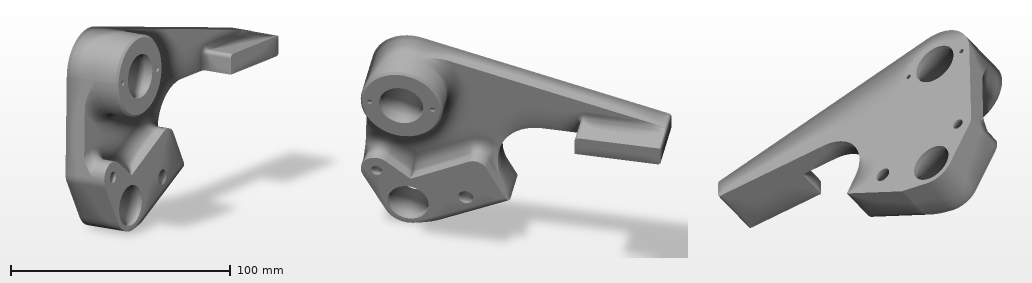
import cadquery as cq
import math


PLATE_THICKNESS = 10.0
PAD_HEIGHT = 21.0
ARM_BLOCK_HEIGHT = 25.0
MAIN_BOSS_HEIGHT = 27.5

MAIN_CENTRE = (0.0, 0.0)
MAIN_RADIUS = 19.0
MAIN_BORE = 20.5
PIN_HOLE = 2.4
PIN_OFFSET = 14.6

LOWER_CENTRE = (2.0, -62.47)
LOWER_RADIUS = 12.0
LOWER_BORE = 19.0
SMALL_CENTRE = (-12.7, -45.8)
SMALL_RADIUS = 7.35
SMALL_HOLE = 5.2

ARM_END_Y = 120.0
ARM_BOTTOM_Z = -17.8
ARM_CORNER_RADIUS = 1.5
ARM_UPPER_CORNER_Z = -9.4
ARM_BLOCK_LENGTH = 40.0
ARM_BLOCK_TOP_Z = -8.3
ARM_BLOCK_CORNER_RADIUS = 2.0
ARM_BLOCK_FILLET = 2.0

NOTCH_RADIUS = 20.0
NOTCH_CENTRE = (61.7, ARM_BOTTOM_Z - NOTCH_RADIUS)
TIP = (48.7, -55.8)
TIP_HOLE = 7.0
TIP_HOLE_CENTRE = (28.75, -55.05)
BEND = (18.4, -71.55)

PAD_CORNER_RADIUS = 6.0
PAD_CORNER_DISTANCE = 22.2

PAD_EDGE_FILLET = 4.0
BOSS_FILLET = 5.0
BOSS_CHAMFER = 1.0

SLAB_REACH = 200.0
SELECT_MARGIN = 0.01


def on_circle(centre, radius, angle):
    return (centre[0] + radius * math.cos(angle), centre[1] + radius * math.sin(angle))


def tangent(circle_a, circle_b):
    """Ends of the line touching two (centre, radius) circles that lie to the right of its travel.

    A negative radius puts a circle to the left, and a zero radius makes it a point.
    """
    (centre_a, radius_a), (centre_b, radius_b) = circle_a, circle_b
    dy = centre_b[0] - centre_a[0]
    dz = centre_b[1] - centre_a[1]
    normal = math.atan2(dz, dy) + math.acos((radius_a - radius_b) / math.hypot(dy, dz))
    return on_circle(centre_a, radius_a, normal), on_circle(centre_b, radius_b, normal)


def arc_middle(centre, radius, start, end):
    """Point halfway along the shorter arc between two points of a circle."""
    y = (start[0] + end[0]) / 2 - centre[0]
    z = (start[1] + end[1]) / 2 - centre[1]
    return on_circle(centre, abs(radius), math.atan2(z, y))


def belt(circles, height):
    """Prism whose outline runs clockwise around the circles, like a belt around pulleys."""
    lines = [tangent(circles[i - 1], circles[i]) for i in range(len(circles))]
    outline = cq.Workplane("YZ").moveTo(*lines[0][0])
    for i, (centre, radius) in enumerate(circles):
        arrive = lines[i][1]
        leave = lines[(i + 1) % len(circles)][0]
        outline = outline.lineTo(*arrive)
        if radius != 0:
            outline = outline.threePointArc(arc_middle(centre, radius, arrive, leave), leave)
    return outline.close().extrude(height)


def cylinder(centre, diameter, height):
    return cq.Workplane("YZ").center(*centre).circle(diameter / 2).extrude(height)


def raise_from_slab(shape, fillet):
    """Shape standing on a slab much wider than the part, filleted where it meets the slab."""
    slab = cq.Workplane("YZ").rect(2 * SLAB_REACH, 2 * SLAB_REACH).extrude(PLATE_THICKNESS)
    inner_reach = SLAB_REACH - SELECT_MARGIN
    foot = cq.selectors.BoxSelector(
        (PLATE_THICKNESS - SELECT_MARGIN, -inner_reach, -inner_reach),
        (PLATE_THICKNESS + SELECT_MARGIN, inner_reach, inner_reach),
    )
    return slab.union(shape).edges(foot).fillet(fillet)


def plate_outline():
    corner_y = ARM_END_Y - ARM_CORNER_RADIUS
    return belt(
        [
            (MAIN_CENTRE, MAIN_RADIUS),
            ((corner_y, ARM_UPPER_CORNER_Z), ARM_CORNER_RADIUS),
            ((corner_y, ARM_BOTTOM_Z + ARM_CORNER_RADIUS), ARM_CORNER_RADIUS),
            (NOTCH_CENTRE, -NOTCH_RADIUS),
            (TIP, 0),
            (BEND, 0),
            (LOWER_CENTRE, LOWER_RADIUS),
            (SMALL_CENTRE, SMALL_RADIUS),
        ],
        MAIN_BOSS_HEIGHT,
    )


def main_boss():
    return cylinder(MAIN_CENTRE, 2 * MAIN_RADIUS, MAIN_BOSS_HEIGHT).faces(">X").chamfer(BOSS_CHAMFER)


def lower_pad():
    """Pad from the tip to the lower boss, joined by a strap to the small boss."""
    notch_end, _ = tangent((NOTCH_CENTRE, -NOTCH_RADIUS), (TIP, 0))
    along = math.atan2(notch_end[1] - TIP[1], notch_end[0] - TIP[0])
    corner_touch = on_circle(TIP, PAD_CORNER_DISTANCE, along)
    corner_centre = on_circle(corner_touch, PAD_CORNER_RADIUS, along + math.pi / 2)
    lower = (LOWER_CENTRE, LOWER_RADIUS)
    main_part = belt([(TIP, 0), (BEND, 0), lower, (corner_centre, PAD_CORNER_RADIUS)], PAD_HEIGHT)
    strap = belt([lower, (SMALL_CENTRE, SMALL_RADIUS)], PAD_HEIGHT)
    return main_part.union(strap)


def round_tip_edge(body):
    """Round the upper edge of the straight lower side that runs from the tip to the bend."""
    middle = (PAD_HEIGHT, (TIP[0] + BEND[0]) / 2, (TIP[1] + BEND[1]) / 2)
    return body.edges(cq.NearestToPointSelector(middle)).fillet(PAD_EDGE_FILLET)


def arm_block():
    """Block on the arm end, with a level top and its inner upper corner rounded."""
    height = ARM_BLOCK_TOP_Z - ARM_BOTTOM_Z
    centre = (ARM_END_Y - ARM_BLOCK_LENGTH / 2, ARM_BOTTOM_Z + height / 2)
    block = cq.Workplane("YZ").center(*centre).rect(ARM_BLOCK_LENGTH, height).extrude(ARM_BLOCK_HEIGHT)
    return block.edges("<Y and >Z").fillet(ARM_BLOCK_CORNER_RADIUS)


def drill_holes(body):
    holes = [
        (MAIN_CENTRE, MAIN_BORE),
        (LOWER_CENTRE, LOWER_BORE),
        (SMALL_CENTRE, SMALL_HOLE),
        (TIP_HOLE_CENTRE, TIP_HOLE),
        ((PIN_OFFSET, 0), PIN_HOLE),
        ((-PIN_OFFSET, 0), PIN_HOLE),
    ]
    for centre, diameter in holes:
        body = body.cut(cylinder(centre, diameter, MAIN_BOSS_HEIGHT))
    return body


bosses = raise_from_slab(main_boss().union(lower_pad()), BOSS_FILLET)
block = raise_from_slab(arm_block(), ARM_BLOCK_FILLET)
body = bosses.union(block).intersect(plate_outline())
result = drill_holes(round_tip_edge(body))